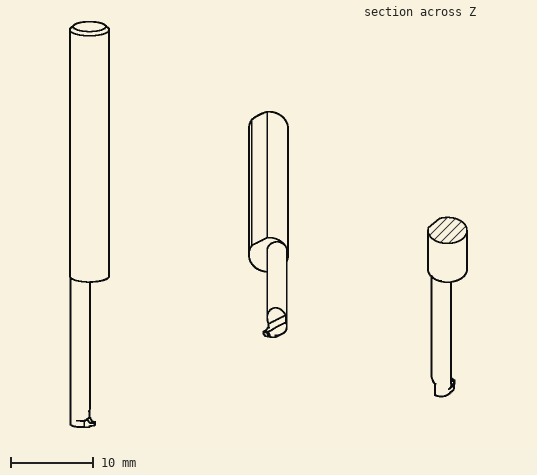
import cadquery as cq

total_length = 50.8
shank_radius = 2.4
flat_offset = 2.15
shank_bottom = 19.1
shank_chamfer = 0.4

neck_radius = shank_radius / 2
neck_x = neck_radius - shank_radius
neck_bottom = 0.15

relief_inner_z = 1.95
relief_outer_z = 2.8

nose_x = 0.75
nose_thickness = 0.5
nose_bottom = 0.3
nose_top = 0.65
head_front_x = -0.25
head_side_x = 0.05
shoulder_x = 0.35
head_top = 0.95
slope_top = 1.15
clearance_rise = 0.2


def make_shank():
    length = total_length - shank_bottom
    shank = (
        cq.Workplane("XY").workplane(offset=shank_bottom)
        .circle(shank_radius).extrude(length)
        .faces(">Z").chamfer(shank_chamfer)
    )
    width = 2 * shank_radius
    flat_cutter = (
        cq.Workplane("XY").box(width, width, total_length, centered=(True, False, False))
        .translate((0, flat_offset, 0))
    )
    return shank.cut(flat_cutter)


def make_neck():
    neck = (
        cq.Workplane("XY", origin=(neck_x, 0, neck_bottom))
        .circle(neck_radius).extrude(shank_bottom - neck_bottom)
    )
    relief = (
        cq.Workplane("YZ", origin=(neck_x, 0, 0))
        .moveTo(0, 0)
        .lineTo(0, relief_inner_z)
        .lineTo(neck_radius, relief_outer_z)
        .lineTo(neck_radius, 0)
        .close()
        .extrude(neck_radius, both=True)
    )
    return neck.cut(relief)


def make_head():
    side = (
        cq.Workplane("XZ")
        .polyline([
            (neck_x, neck_bottom),
            (head_front_x, 0),
            (head_side_x, 0),
            (shoulder_x, nose_bottom),
            (nose_x, nose_bottom),
            (nose_x, nose_top),
            (shoulder_x, nose_top),
            (head_side_x, slope_top),
            (head_front_x, head_top),
            (neck_x, head_top),
        ])
        .close().extrude(neck_radius)
    )
    plan = (
        cq.Workplane("XY")
        .polyline([
            (neck_x, 0),
            (neck_x, -neck_radius),
            (head_front_x, -neck_radius),
            (nose_x, -nose_thickness),
            (nose_x, 0),
        ])
        .close().extrude(slope_top)
    )
    clearance = (
        cq.Workplane("YZ", origin=(neck_x, 0, 0))
        .moveTo(0, 0)
        .lineTo(-neck_radius, clearance_rise)
        .lineTo(-neck_radius, 0)
        .close()
        .extrude(nose_x - neck_x)
    )
    return side.intersect(plan).cut(clearance)


result = make_shank().union(make_neck()).union(make_head())